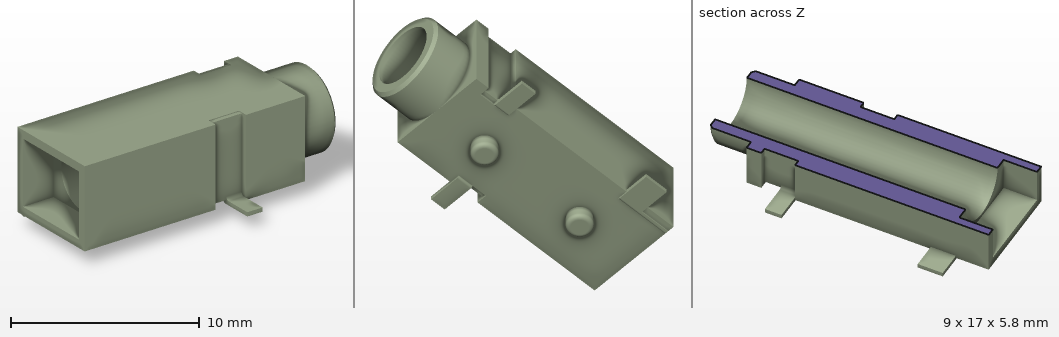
import cadquery as cq

BODY_WIDTH = 6.0
BODY_LENGTH = 14.5
BODY_HEIGHT = 5.0
SIDE = BODY_WIDTH / 2
FRONT = BODY_LENGTH / 2
REAR = -FRONT
BOTTOM = -BODY_HEIGHT / 2
TOP = BODY_HEIGHT / 2

BARREL_DIAMETER = BODY_HEIGHT
BARREL_LENGTH = 2.5
BARREL_CHAMFER = 0.18
BORE_DIAMETER = 3.6

WALL = 0.5
CAVITY_DEPTH = 2.0

PEG_DIAMETER = 1.5
PEG_LENGTH = 0.8
PEG_FILLET = 0.25
PEG_DISTANCES = (3.5, 10.5)

NOTCH_DEPTH = 0.63
NOTCH_LENGTH = 2.0
PLATE_THICKNESS = 0.26
PLATE_TOP_GAP = 0.05
PLATE_INNER = -SIDE + NOTCH_DEPTH
PLATE_OUTER = PLATE_INNER - PLATE_THICKNESS
BEND_RADIUS = 0.2
OUTER_BEND_RADIUS = 0.15
TAB_THICKNESS = 0.25
TAB_DROP = 0.1
TAB_REACH = 4.5
TAB_WIDTH = 1.0
TAB_BOTTOM = BOTTOM - TAB_DROP
TAB_TOP = TAB_BOTTOM + TAB_THICKNESS

LEFT_NOTCH_DISTANCE = 0.9
RIGHT_NOTCH_DISTANCE = 3.89
RIGHT_TAB_SETBACK = 0.02

REAR_TAB_DISTANCE = 11.04
REAR_TAB_WIDTH = 1.5
REAR_STRIP_END_GAP = 0.05


def block(x_range, y_range, z_range):
    """Axis-aligned box between the given limits."""
    (x0, x1), (y0, y1), (z0, z1) = x_range, y_range, z_range
    return cq.Workplane("XY").box(x1 - x0, y1 - y0, z1 - z0, centered=False).translate((x0, y0, z0))


def make_housing():
    """Rectangular body with the entry barrel on its front face."""
    body = cq.Workplane("XY").box(BODY_WIDTH, BODY_LENGTH, BODY_HEIGHT)
    barrel = (
        cq.Workplane("XZ", origin=(0, FRONT, 0))
        .circle(BARREL_DIAMETER / 2)
        .extrude(-BARREL_LENGTH)
        .faces(">Y")
        .chamfer(BARREL_CHAMFER)
    )
    return body.union(barrel)


def make_openings():
    """Through bore and the rectangular rear cavity."""
    bore = (
        cq.Workplane("XZ", origin=(0, REAR, 0))
        .circle(BORE_DIAMETER / 2)
        .extrude(-(BODY_LENGTH + BARREL_LENGTH))
    )
    cavity = block(
        (-SIDE + WALL, SIDE - WALL),
        (REAR, REAR + CAVITY_DEPTH),
        (BOTTOM + WALL, TOP - WALL),
    )
    return bore.union(cavity)


def make_left_notch(distance):
    """Full-height notch in the -X side, starting at a distance behind the front face."""
    notch_front = FRONT - distance
    return block((-SIDE, -SIDE + NOTCH_DEPTH), (notch_front - NOTCH_LENGTH, notch_front), (BOTTOM, TOP))


def make_left_contact(notch_distance, tab_distance):
    """Notch plate and bent solder tab on the -X side."""
    notch_front = FRONT - notch_distance
    tab_front = FRONT - tab_distance
    plate = block(
        (PLATE_OUTER, PLATE_INNER),
        (notch_front - NOTCH_LENGTH, notch_front),
        (TAB_TOP, TOP - PLATE_TOP_GAP),
    )
    tab = (
        cq.Workplane("XZ", origin=(0, tab_front, 0))
        .moveTo(-TAB_REACH, TAB_BOTTOM)
        .lineTo(PLATE_INNER - OUTER_BEND_RADIUS, TAB_BOTTOM)
        .radiusArc((PLATE_INNER, TAB_BOTTOM + OUTER_BEND_RADIUS), -OUTER_BEND_RADIUS)
        .lineTo(PLATE_INNER, TAB_TOP + BEND_RADIUS)
        .lineTo(PLATE_OUTER, TAB_TOP + BEND_RADIUS)
        .radiusArc((PLATE_OUTER - BEND_RADIUS, TAB_TOP), BEND_RADIUS)
        .lineTo(-TAB_REACH, TAB_TOP)
        .close()
        .extrude(TAB_WIDTH)
    )
    return plate.union(tab)


def make_rear_contact():
    """Flat -X tab and a strip running to the rear, rounded along the lower inner edge."""
    tab_front = FRONT - REAR_TAB_DISTANCE
    tab = block((-TAB_REACH, PLATE_INNER), (tab_front - REAR_TAB_WIDTH, tab_front), (TAB_BOTTOM, TAB_TOP))
    strip = block((PLATE_OUTER, PLATE_INNER), (REAR + REAR_STRIP_END_GAP, tab_front), (TAB_BOTTOM, TAB_TOP))
    return tab.union(strip).edges(">X and <Z").fillet(OUTER_BEND_RADIUS)


def make_peg(distance):
    """Locating peg under the body with a rounded tip."""
    return (
        cq.Workplane("XY", origin=(0, FRONT - distance, BOTTOM))
        .circle(PEG_DIAMETER / 2)
        .extrude(-PEG_LENGTH)
        .faces("<Z")
        .fillet(PEG_FILLET)
    )


left_notch = make_left_notch(LEFT_NOTCH_DISTANCE)
right_notch = make_left_notch(RIGHT_NOTCH_DISTANCE).mirror("YZ")

left_tab_distance = LEFT_NOTCH_DISTANCE + NOTCH_LENGTH - TAB_WIDTH
right_tab_distance = RIGHT_NOTCH_DISTANCE + RIGHT_TAB_SETBACK
left_contact = make_left_contact(LEFT_NOTCH_DISTANCE, left_tab_distance)
right_contact = make_left_contact(RIGHT_NOTCH_DISTANCE, right_tab_distance).mirror("YZ")

result = make_housing().cut(make_openings()).cut(left_notch).cut(right_notch)
result = result.union(left_contact).union(right_contact).union(make_rear_contact())
for peg_distance in PEG_DISTANCES:
    result = result.union(make_peg(peg_distance))